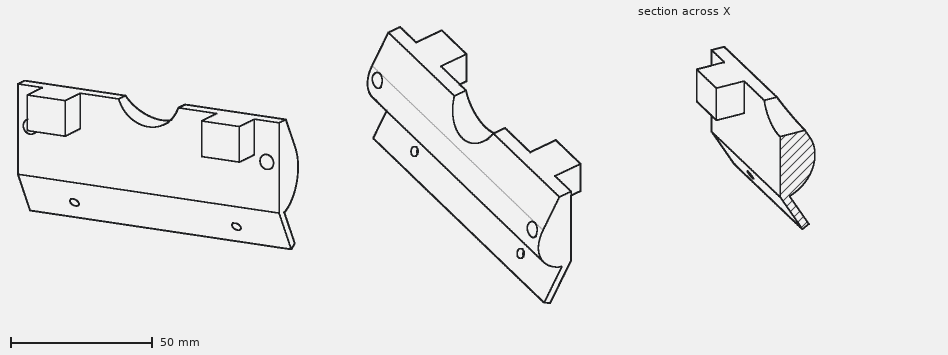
import cadquery as cq
import math

length = 105.0
total_height = 48.6

top_thickness = 5.0
slope_angle = math.radians(30)
back_radius = 15.0
body_depth = 14.1

flange_length = 18.0
flange_thickness = 3.0

block_width = 15.2
block_height = 13.0
block_depth = 11.0
block_end_gap = 9.9

notch_radius = 12.6
notch_depth = 8.6

body_hole_diameter = 5.5
body_hole_end_gap = 4.9
body_hole_drop = 15.0
flange_hole_diameter = 3.5
flange_hole_end_gap = 20.0
flange_hole_from_bend = 10.3

slope_sin = math.sin(slope_angle)
slope_cos = math.cos(slope_angle)
bend_z = flange_length * slope_cos - total_height

arc_center_y = body_depth - back_radius
tangent_y = arc_center_y + back_radius * slope_cos
tangent_z = -(tangent_y - top_thickness) / math.tan(slope_angle)
arc_center_z = tangent_z - back_radius * slope_sin


def on_flange(along, into):
    """(y, z) at a distance along the flange from the bend and into its thickness."""
    y = along * slope_sin + into * slope_cos
    z = bend_z - along * slope_cos + into * slope_sin
    return y, z


def flange_root():
    """(y, z) where the back arc meets the back face of the flange."""
    center_y = arc_center_y
    center_z = arc_center_z - bend_z
    center_along = center_y * slope_sin - center_z * slope_cos
    center_into = center_y * slope_cos + center_z * slope_sin
    half_chord = math.sqrt(back_radius**2 - (flange_thickness - center_into) ** 2)
    return on_flange(center_along + half_chord, flange_thickness)


def make_body():
    """Body and flange, extruded along X from one cross-section."""
    return (
        cq.Workplane("YZ")
        .moveTo(0, 0)
        .lineTo(top_thickness, 0)
        .lineTo(tangent_y, tangent_z)
        .threePointArc((body_depth, arc_center_z), flange_root())
        .lineTo(*on_flange(flange_length, flange_thickness))
        .lineTo(*on_flange(flange_length, 0))
        .lineTo(0, bend_z)
        .close()
        .extrude(length / 2, both=True)
    )


def make_block(side):
    center_x = side * (length / 2 - block_end_gap - block_width / 2)
    block = cq.Workplane("XY").box(block_width, block_depth, block_height)
    return block.translate((center_x, -block_depth / 2, -block_height / 2))


def make_notch():
    cutter = cq.Workplane("XZ").center(0, notch_radius - notch_depth).circle(notch_radius)
    return cutter.extrude(-body_depth)


def make_body_hole(side):
    center_x = side * (length / 2 - body_hole_end_gap)
    cutter = cq.Workplane("XZ").center(center_x, -body_hole_drop).circle(body_hole_diameter / 2)
    return cutter.extrude(-body_depth)


def make_flange_hole(side):
    """Cutter square to the flange, through its thickness."""
    center_x = side * (length / 2 - flange_hole_end_gap)
    start_y, start_z = on_flange(flange_hole_from_bend, 0)
    return cq.Workplane(
        cq.Solid.makeCylinder(
            flange_hole_diameter / 2,
            flange_thickness,
            cq.Vector(center_x, start_y, start_z),
            cq.Vector(0, slope_cos, slope_sin),
        )
    )


result = make_body().cut(make_notch())
for side in (-1, 1):
    result = result.union(make_block(side))
    result = result.cut(make_body_hole(side))
    result = result.cut(make_flange_hole(side))